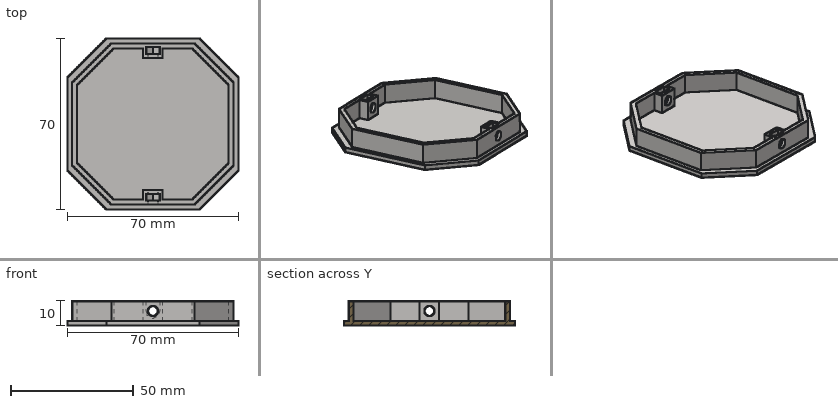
import cadquery as cq
import math

plate_width = 70
plate_thickness = 2.0
total_height = 10.0
corner_cut = 16.0
cavity_corner_cut = 15.0
rim_inset = 2.0
rim_thickness = 2.0

holder_width = 8.0
holder_depth = 4.0
screw_diameter = 4.0
screw_height = 6.0
nut_flats = 5.3
nut_slot_width = 5.75
nut_slot_thickness = 2.8

rim_width = plate_width - 2 * rim_inset
cavity_width = rim_width - 2 * rim_thickness
rim_height = total_height - plate_thickness
holder_inner_y = cavity_width / 2 - holder_depth
holder_center_y = (rim_width / 2 + holder_inner_y) / 2


def octagon_prism(width, cut, height, base_z):
    """Square prism with its four vertical edges cut at 45 degrees."""
    return (
        cq.Workplane("XY", origin=(0, 0, base_z))
        .rect(width, width)
        .extrude(height)
        .edges("|Z")
        .chamfer(cut)
    )


def holder_block(side):
    """Block standing on the plate and merging into the rim."""
    center_y = side * holder_center_y
    depth = rim_width / 2 - holder_inner_y
    return (
        cq.Workplane("XY", origin=(0, center_y, plate_thickness))
        .rect(holder_width, depth)
        .extrude(rim_height)
    )


def nut_pocket(side):
    """Hexagonal nut seat, point down, with a wider slot opening at the top."""
    center_y = side * holder_center_y
    nut_diameter = nut_flats / math.cos(math.pi / 6)
    seat = (
        cq.Workplane("XZ", origin=(0, center_y, screw_height))
        .transformed(rotate=(0, 0, 90))
        .polygon(6, nut_diameter)
        .extrude(nut_slot_thickness / 2, both=True)
    )
    slot = (
        cq.Workplane("XY", origin=(0, center_y, screw_height))
        .rect(nut_slot_width, nut_slot_thickness)
        .extrude(total_height - screw_height)
    )
    return seat.union(slot)


plate = octagon_prism(plate_width, corner_cut, plate_thickness, 0)
rim = octagon_prism(rim_width, corner_cut, rim_height, plate_thickness)
cavity = octagon_prism(cavity_width, cavity_corner_cut, rim_height, plate_thickness)
result = plate.union(rim.cut(cavity))

for side in (-1, 1):
    result = result.union(holder_block(side)).cut(nut_pocket(side))

screw_hole = (
    cq.Workplane("XZ", origin=(0, 0, screw_height))
    .circle(screw_diameter / 2)
    .extrude(plate_width / 2, both=True)
)
result = result.cut(screw_hole)